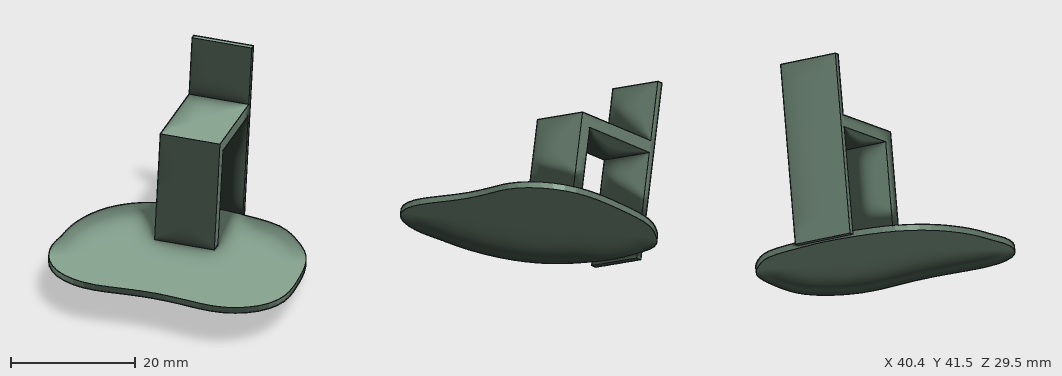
import cadquery as cq


tilt_angle = 9.5
plate_thickness = 1.0
bracket_width = 10.0
seat_length = 16.0
seat_thickness = 2.0
seat_height = 18.76
leg_thickness = 2.0
back_thickness = 1.0
backrest_height = 10.0

facet_count = 64
outline_points = [
    (-19.5, -6.2), (-19.1, -12.0), (-16.2, -17.0), (-11.1, -19.6), (-5.3, -19.5),
    (0.2, -19.1), (6.1, -19.6), (11.8, -19.98), (17.0, -17.7), (20.1, -13.1),
    (20.7, -7.4), (20.4, -1.8), (19.2, 3.8), (16.2, 8.7), (12.2, 12.6),
    (6.7, 14.2), (1.0, 14.95), (-4.6, 14.4), (-10.1, 12.9), (-14.7, 9.5),
    (-17.6, 4.6), (-19.0, -0.9),
]


def make_plate():
    """Faceted free-form plate, extruded down from its top face."""
    curve = cq.Edge.makeSpline([cq.Vector(x, y) for x, y in outline_points], periodic=True)
    corners = curve.positions([i / facet_count for i in range(facet_count)])
    outline = cq.Workplane("XY").polyline([corner.toTuple()[:2] for corner in corners]).close()
    return outline.extrude(-plate_thickness)


def make_block(y_start, y_end, z_start, z_end):
    """Block of the bracket's width, centred on X = 0."""
    return (
        cq.Workplane("XY")
        .box(bracket_width, y_end - y_start, z_end - z_start, centered=(True, False, False))
        .translate((0, y_start, z_start))
    )


def make_bracket():
    """Front leg, seat and tall back; the back reaches down level with the plate's underside."""
    leg = make_block(0, leg_thickness, 0, seat_height)
    seat = make_block(0, seat_length, seat_height - seat_thickness, seat_height)
    back_top = seat_height + backrest_height
    back = make_block(seat_length, seat_length + back_thickness, -plate_thickness, back_top)
    return leg.union(seat).union(back)


upright_part = make_plate().union(make_bracket())
result = upright_part.rotate((0, 0, 0), (1, 0, 0), -tilt_angle)